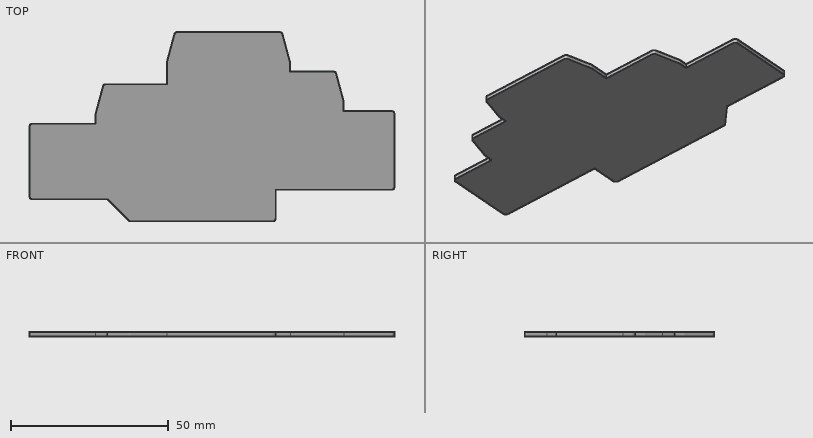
import cadquery as cq
import math

LENGTH = 115.6
WIDTH = 60.0
THICKNESS = 1.5

CORNER_RADIUS = 1.0
TAPER_ANGLE = 15.0
STEP_RISE = 12.5

ARM_BOTTOM = 7.0
LEFT_ARM_TOP = 31.0
LEFT_SHOULDER_X = 20.9
LEFT_SHOULDER_TOP = LEFT_ARM_TOP + STEP_RISE
BEVEL_END_X = 31.7

TOP_LEFT_X = 43.5
TOP_RIGHT_X = 82.5
TOP_TAPER_START = 50.5

RIGHT_SHOULDER_X = 99.5
RIGHT_SHOULDER_TOP = WIDTH - STEP_RISE
RIGHT_ARM_TOP = RIGHT_SHOULDER_TOP - STEP_RISE
RIGHT_ARM_BOTTOM = 10.0
BOTTOM_RIGHT_X = 78.0
SHOULDER_TAPER_RISE = 3.0


def taper_run(rise):
    """Sideways travel of a slanted shoulder over the given rise."""
    return rise * math.tan(math.radians(TAPER_ANGLE))


def build_plate():
    left_taper_start = LEFT_ARM_TOP + SHOULDER_TAPER_RISE
    right_taper_start = RIGHT_ARM_TOP + SHOULDER_TAPER_RISE
    left_run = taper_run(LEFT_SHOULDER_TOP - left_taper_start)
    right_run = taper_run(RIGHT_SHOULDER_TOP - right_taper_start)
    top_run = taper_run(WIDTH - TOP_TAPER_START)

    rounded = [
        (0, ARM_BOTTOM),
        (0, LEFT_ARM_TOP),
        (LEFT_SHOULDER_X + left_run, LEFT_SHOULDER_TOP),
        (TOP_LEFT_X + top_run, WIDTH),
        (TOP_RIGHT_X - top_run, WIDTH),
        (RIGHT_SHOULDER_X - right_run, RIGHT_SHOULDER_TOP),
        (LENGTH, RIGHT_ARM_TOP),
        (LENGTH, RIGHT_ARM_BOTTOM),
        (BOTTOM_RIGHT_X, 0),
        (BEVEL_END_X, 0),
    ]
    (arm_low, arm_high, left_shoulder, top_left, top_right,
     right_shoulder, right_high, right_low, bottom_right, bevel_end) = rounded

    outline = [
        arm_low,
        arm_high,
        (LEFT_SHOULDER_X, LEFT_ARM_TOP),
        (LEFT_SHOULDER_X, left_taper_start),
        left_shoulder,
        (TOP_LEFT_X, LEFT_SHOULDER_TOP),
        (TOP_LEFT_X, TOP_TAPER_START),
        top_left,
        top_right,
        (TOP_RIGHT_X, TOP_TAPER_START),
        (TOP_RIGHT_X, RIGHT_SHOULDER_TOP),
        right_shoulder,
        (RIGHT_SHOULDER_X, right_taper_start),
        (RIGHT_SHOULDER_X, RIGHT_ARM_TOP),
        right_high,
        right_low,
        (BOTTOM_RIGHT_X, RIGHT_ARM_BOTTOM),
        bottom_right,
        bevel_end,
        (BEVEL_END_X - ARM_BOTTOM, ARM_BOTTOM),
    ]
    plate = cq.Workplane("XY").polyline(outline).close().extrude(THICKNESS)

    for x, y in rounded:
        corner = cq.selectors.NearestToPointSelector((x, y, THICKNESS / 2))
        plate = plate.edges("|Z").edges(corner).fillet(CORNER_RADIUS)
    return plate


result = build_plate().translate((-LENGTH / 2, -WIDTH / 2, 0))